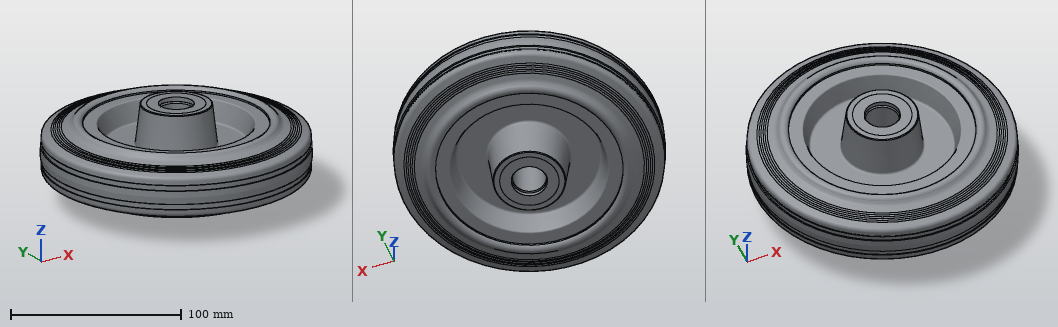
import cadquery as cq
import math


HUB_LENGTH = 60.0
HUB_HALF_LENGTH = HUB_LENGTH / 2
HUB_TOP_RADIUS = 21.3
HUB_BASE_RADIUS = 24.3
HUB_CHAMFER = 0.5
BORE_DIAMETER = 20.0
BORE_RADIUS = BORE_DIAMETER / 2

WASHER_RADIUS = 17.5
WASHER_BORE_RADIUS = 10.5
RELIEF_RADIUS = 12.8
RELIEF_DEPTH = 1.0
WASHER_THICKNESS = 2.7

RIM_RADIUS = 55.0
RIM_HALF_WIDTH = 17.5
WEB_HALF_THICKNESS = 4.3
RECESS_TOP_RADIUS = 46.4
RECESS_FLOOR_RADIUS = 42.5
RIM_EDGE_FILLET = 1.0
WEB_FILLET = 1.5

TYRE_RADIUS = 80.0
SHOULDER_RADIUS = 79.4
SHOULDER_HEIGHT = 10.0
GROOVE_RADIUS = 78.9
GROOVE_BOTTOM = 4.2
GROOVE_TOP = 7.5

FLANK_OUTER_RADIUS = 77.3
FLANK_OUTER_HEIGHT = 12.5
FLANK_INNER_RADIUS = 63.8
FLANK_INNER_HEIGHT = 16.3
STEP_RADIUS = 62.0
STEP_HEIGHT = 17.5
BEAD_ROUND = 3.4
BEAD_MIDDLE_RADIUS = 58.0
BEAD_TOP_HEIGHT = 20.0
BEAD_OUTER_RADIUS = 61.0

RIDGE_COUNT = 3
FIRST_RIDGE_RADIUS = 73.0
RIDGE_PITCH = 2.4
RIDGE_WIDTH = 1.3
RIDGE_HEIGHT = 0.5


def revolve_and_mirror(half_profile):
    """Turn a closed (radius, height) profile around Z and add its mirror image below Z = 0."""
    upper = half_profile.revolve(360, (0, 0, 0), (0, 1, 0))
    return upper.union(upper.mirror("XY"))


def circle_edge(radius, height):
    """Select the full-circle edge around Z that has this radius and height."""
    margin = 0.2
    outer = radius + margin
    return cq.selectors.BoxSelector(
        (-outer, -outer, height - margin), (outer, outer, height + margin), boundingbox=True
    ) - cq.selectors.BoxSelector(
        (-radius + margin, -radius + margin, height - margin),
        (radius - margin, radius - margin, height + margin),
        boundingbox=True,
    )


def make_rim():
    washer_seat = HUB_HALF_LENGTH - WASHER_THICKNESS
    relief_floor = washer_seat - RELIEF_DEPTH
    half_profile = (
        cq.Workplane("XZ")
        .moveTo(BORE_RADIUS, 0)
        .lineTo(BORE_RADIUS, relief_floor)
        .lineTo(RELIEF_RADIUS, relief_floor)
        .lineTo(RELIEF_RADIUS, washer_seat)
        .lineTo(WASHER_RADIUS, washer_seat)
        .lineTo(WASHER_RADIUS, HUB_HALF_LENGTH)
        .lineTo(HUB_TOP_RADIUS, HUB_HALF_LENGTH)
        .lineTo(HUB_BASE_RADIUS, WEB_HALF_THICKNESS)
        .lineTo(RECESS_FLOOR_RADIUS, WEB_HALF_THICKNESS)
        .lineTo(RECESS_TOP_RADIUS, RIM_HALF_WIDTH)
        .lineTo(RIM_RADIUS, RIM_HALF_WIDTH)
        .lineTo(RIM_RADIUS, 0)
        .close()
    )
    rim = revolve_and_mirror(half_profile)
    for side in (1, -1):
        rim = rim.edges(circle_edge(HUB_TOP_RADIUS, side * HUB_HALF_LENGTH)).chamfer(HUB_CHAMFER)
        for radius in (HUB_BASE_RADIUS, RECESS_FLOOR_RADIUS):
            rim = rim.edges(circle_edge(radius, side * WEB_HALF_THICKNESS)).fillet(WEB_FILLET)
        for radius in (RECESS_TOP_RADIUS, RIM_RADIUS):
            rim = rim.edges(circle_edge(radius, side * RIM_HALF_WIDTH)).fillet(RIM_EDGE_FILLET)
    return rim


def tread_radius(height):
    """Radius of the conical tread at this height."""
    return TYRE_RADIUS - (TYRE_RADIUS - SHOULDER_RADIUS) * height / SHOULDER_HEIGHT


def flank_height(radius):
    """Height of the sloping flank at this radius."""
    slope = (FLANK_OUTER_HEIGHT - FLANK_INNER_HEIGHT) / (FLANK_OUTER_RADIUS - FLANK_INNER_RADIUS)
    return FLANK_INNER_HEIGHT + slope * (radius - FLANK_INNER_RADIUS)


def add_ridges(profile):
    """Continue the flank outline inwards over the ridges, each a shallow arc."""
    for index in range(RIDGE_COUNT):
        middle = FIRST_RIDGE_RADIUS - index * RIDGE_PITCH
        outer = middle + RIDGE_WIDTH / 2
        inner = middle - RIDGE_WIDTH / 2
        crest = (middle, flank_height(middle) + RIDGE_HEIGHT)
        profile = profile.lineTo(outer, flank_height(outer))
        profile = profile.threePointArc(crest, (inner, flank_height(inner)))
    return profile


def bead_height(radius):
    """Height of the round bead at this radius."""
    across = radius - BEAD_MIDDLE_RADIUS
    return BEAD_TOP_HEIGHT - BEAD_ROUND + math.sqrt(BEAD_ROUND**2 - across**2)


def make_tyre():
    profile = (
        cq.Workplane("XZ")
        .moveTo(RIM_RADIUS, 0)
        .lineTo(TYRE_RADIUS, 0)
        .lineTo(tread_radius(GROOVE_BOTTOM), GROOVE_BOTTOM)
        .lineTo(GROOVE_RADIUS, GROOVE_BOTTOM)
        .lineTo(GROOVE_RADIUS, GROOVE_TOP)
        .lineTo(tread_radius(GROOVE_TOP), GROOVE_TOP)
        .lineTo(SHOULDER_RADIUS, SHOULDER_HEIGHT)
        .tangentArcPoint((FLANK_OUTER_RADIUS, FLANK_OUTER_HEIGHT), relative=False)
    )
    profile = add_ridges(profile)
    profile = (
        profile.lineTo(FLANK_INNER_RADIUS, FLANK_INNER_HEIGHT)
        .tangentArcPoint((STEP_RADIUS, STEP_HEIGHT), relative=False)
        .lineTo(BEAD_OUTER_RADIUS, bead_height(BEAD_OUTER_RADIUS))
        .threePointArc((BEAD_MIDDLE_RADIUS, BEAD_TOP_HEIGHT), (RIM_RADIUS, bead_height(RIM_RADIUS)))
        .close()
    )
    return revolve_and_mirror(profile)


def make_washer(bottom):
    """A flat ring whose lower face is at this height."""
    return (
        cq.Workplane("XY", origin=(0, 0, bottom))
        .circle(WASHER_RADIUS)
        .circle(WASHER_BORE_RADIUS)
        .extrude(WASHER_THICKNESS)
    )


rim = make_rim()
tyre = make_tyre()
washers = []
for washer_bottom in (HUB_HALF_LENGTH - WASHER_THICKNESS, -HUB_HALF_LENGTH):
    washers.append(make_washer(washer_bottom).val())

result = cq.Compound.makeCompound([rim.val(), tyre.val(), *washers])